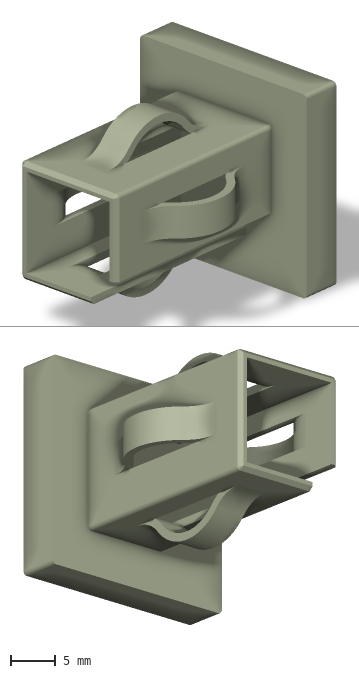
import cadquery as cq
import math

plate_side = 25.0
plate_thickness = 5.0
total_length = 31.0

tube_side = 14.5
tube_wall = 1.0
tube_length = total_length - plate_thickness
corner_cutout = 3.8
edge_size = 0.5

clip_width = 4.0
clip_length = 17.0
clip_rise = 4.0
crest_radius = 6.5
clip_to_mouth = 13.0

half_tube = tube_side / 2
half_clip = clip_length / 2
clip_y = clip_to_mouth - tube_length
short_wall_shift = corner_cutout / 2

flank_angle = 2 * math.atan(clip_rise / half_clip)
foot_radius = half_clip / math.sin(flank_angle) - crest_radius


def make_plate():
    plate = cq.Workplane("XY").box(plate_side, plate_thickness, plate_side)
    return plate.translate((0, plate_thickness / 2, 0)).edges("|Y").fillet(edge_size)


def make_tube():
    bore_side = tube_side - 2 * tube_wall
    tube = cq.Workplane("XZ").rect(tube_side, tube_side).extrude(tube_length)
    tube = tube.edges("|Y").fillet(edge_size)
    tube = tube.faces("<Y").chamfer(edge_size)
    bore = cq.Workplane("XZ").rect(bore_side, bore_side).extrude(tube_length)
    cutout = (
        cq.Workplane("XZ")
        .center(half_tube - corner_cutout / 2, corner_cutout / 2 - half_tube)
        .rect(corner_cutout, corner_cutout)
        .extrude(tube_length)
    )
    return tube.cut(bore).cut(cutout)


def crest_point(angle, radius):
    """(Y, Z) on a crest arc, with the angle measured from the +Z direction."""
    centre_z = half_tube + clip_rise - crest_radius
    return clip_y + radius * math.sin(angle), centre_z + radius * math.cos(angle)


def foot_point(side, angle, radius):
    """(Y, Z) on a foot arc, with the angle measured from the -Z direction."""
    centre_y = clip_y + side * half_clip
    centre_z = half_tube + foot_radius
    return centre_y - side * radius * math.sin(angle), centre_z - radius * math.cos(angle)


def make_clip():
    """Clip on the top wall, centred on X = 0."""
    inner_crest = crest_radius - tube_wall
    inner_foot = foot_radius + tube_wall
    mid_angle = flank_angle / 2
    return (
        cq.Workplane("YZ")
        .moveTo(*foot_point(-1, 0, foot_radius))
        .threePointArc(foot_point(-1, mid_angle, foot_radius), crest_point(-flank_angle, crest_radius))
        .threePointArc(crest_point(0, crest_radius), crest_point(flank_angle, crest_radius))
        .threePointArc(foot_point(1, mid_angle, foot_radius), foot_point(1, 0, foot_radius))
        .lineTo(*foot_point(1, 0, inner_foot))
        .threePointArc(foot_point(1, mid_angle, inner_foot), crest_point(flank_angle, inner_crest))
        .threePointArc(crest_point(0, inner_crest), crest_point(-flank_angle, inner_crest))
        .threePointArc(foot_point(-1, mid_angle, inner_foot), foot_point(-1, 0, inner_foot))
        .close()
        .extrude(clip_width / 2, both=True)
    )


def make_window():
    """Opening left in the top wall where the clip is bent out."""
    window = cq.Workplane("XY").box(clip_width, clip_length, tube_wall)
    return window.translate((0, clip_y, half_tube - tube_wall / 2))


def place_on_wall(shape, shift, angle):
    """Move a top-wall shape along X, then turn it about Y onto another wall."""
    return shape.translate((shift, 0, 0)).rotate((0, 0, 0), (0, 1, 0), angle)


walls = [(0, 0), (90, -short_wall_shift), (180, short_wall_shift), (270, 0)]

result = make_plate().union(make_tube())
for wall_angle, clip_shift in walls:
    result = result.cut(place_on_wall(make_window(), clip_shift, wall_angle))
    result = result.union(place_on_wall(make_clip(), clip_shift, wall_angle))